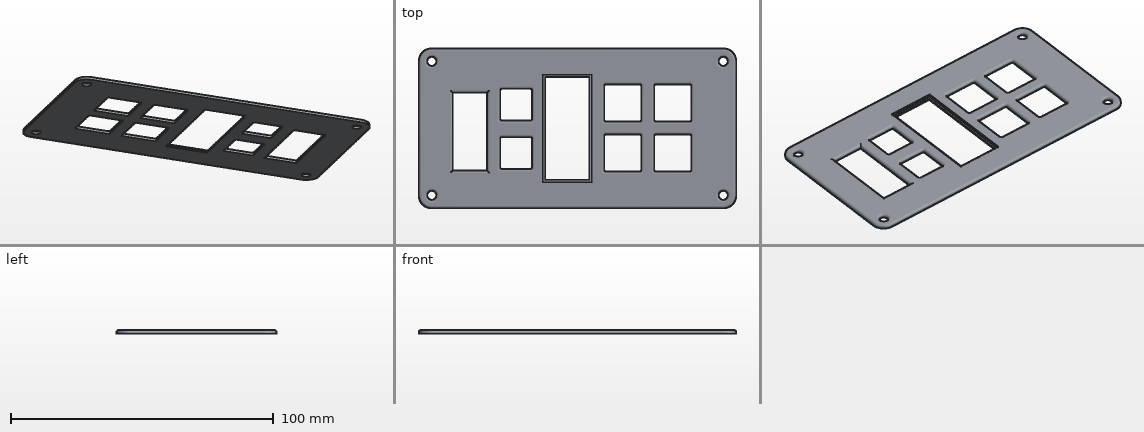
import cadquery as cq

plate_length = 121.0
plate_width = 61.0
plate_thickness = 1.5
corner_radius = 5.0

edge_radius = 1.0

screw_hole_diameter = 3.4
screw_spacing_x = plate_length - 2 * corner_radius
screw_spacing_y = plate_width - 2 * corner_radius

slot_window_size = (13.0, 29.6)
slot_window_center = (-41.0, -1.25)

opening_corner_radius = 0.5

small_opening_size = 12.0
small_opening_pitch = 18.4
small_column_center = (-23.4, -0.2)

key_opening_size = 14.0
key_pitch = 19.05
key_grid_center = (26.725, 0.125)

display_size = (16.6, 39.0)
display_center = (-3.9, 0.0)
display_ledge_width = 1.0
display_ledge_depth = 1.0


def make_plate():
    """Rounded rectangular plate with its bottom face at Z = 0."""
    plate = cq.Workplane("XY").box(
        plate_length, plate_width, plate_thickness, centered=(True, True, False)
    )
    return plate.edges("|Z").fillet(corner_radius)


def make_block(size, center, bottom=0.0):
    """Rectangular cutting block reaching from the given height up to the top face."""
    base = cq.Workplane("XY", origin=(*center, bottom))
    return base.rect(*size).extrude(plate_thickness - bottom)


def cut_screw_holes(plate):
    """Four through holes, one near each plate corner."""
    holes = (
        cq.Workplane("XY")
        .rect(screw_spacing_x, screw_spacing_y, forConstruction=True)
        .vertices()
        .circle(screw_hole_diameter / 2)
        .extrude(plate_thickness)
    )
    return plate.cut(holes)


def cut_slot_window(plate):
    """Tall through window with sharp corners."""
    return plate.cut(make_block(slot_window_size, slot_window_center))


def cut_square_grid(plate, side, pitch, center, columns, rows):
    """Grid of round-cornered square openings, evenly spaced about a centre."""
    for column in range(columns):
        for row in range(rows):
            x = center[0] + (column - (columns - 1) / 2) * pitch
            y = center[1] + (row - (rows - 1) / 2) * pitch
            opening = make_block((side, side), (x, y)).edges("|Z").fillet(opening_corner_radius)
            plate = plate.cut(opening)
    return plate


def round_top_edges(plate):
    """Round every edge of the top face: the outer rim and the openings cut so far."""
    return plate.faces(">Z").edges().fillet(edge_radius)


def cut_display_window(plate):
    """Sharp-edged through window surrounded by a flat ledge below the top face."""
    window = make_block(display_size, display_center)
    recess_size = [side + 2 * display_ledge_width for side in display_size]
    recess = make_block(recess_size, display_center, plate_thickness - display_ledge_depth)
    return plate.cut(window).cut(recess)


result = make_plate()
result = cut_screw_holes(result)
result = cut_slot_window(result)
result = cut_square_grid(
    result, small_opening_size, small_opening_pitch, small_column_center, columns=1, rows=2
)
result = cut_square_grid(result, key_opening_size, key_pitch, key_grid_center, columns=2, rows=2)
result = round_top_edges(result)
result = cut_display_window(result)